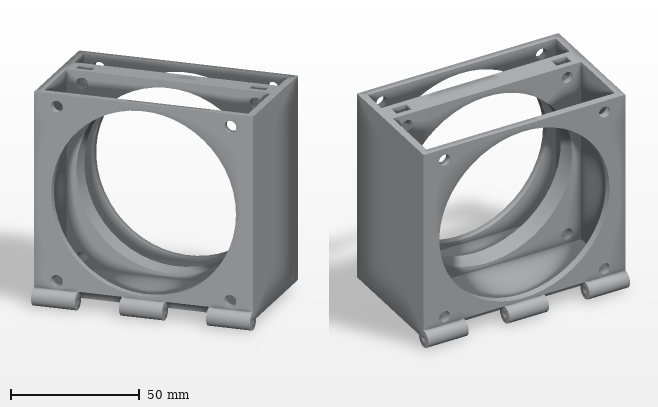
import cadquery as cq

width = 90.0
depth = 52.2
height = 83.8
wall = 3.0

rear_bay_depth = 11.0
partition = 8.9
partition_rear = depth - wall - rear_bay_depth
partition_front = partition_rear - partition

bore_diameter = 76.0
bore_z = 42.9
screw_diameter = 4.9
screw_spacing = 71.4

nut_width = 6.7
nut_thickness = 4.1
nut_y = 33.75
nut_slot_depth = 8.4

knuckle_diameter = 7.4
pin_diameter = 2.6
knuckle_gap = 18.2
outer_knuckle = 18.0
clearance_diameter = 7.6


def block(x_size, y_start, y_end, z_start, z_end):
    """Box centred on X, between the given Y and Z limits."""
    return cq.Workplane("XY").box(
        x_size, y_end - y_start, z_end - z_start, centered=(True, False, False)
    ).translate((0, y_start, z_start))


def hinge_rod(diameter, x_start, length):
    """Cylinder on the hinge axis, running toward +X."""
    return cq.Workplane("YZ", origin=(x_start, 0, 0)).circle(diameter / 2).extrude(length)


bay_width = width - 2 * wall
body = block(width, 0, depth, 0, height)
body = body.cut(block(bay_width, wall, partition_front, wall, height))
body = body.cut(block(bay_width, partition_rear, depth - wall, wall, height))

axis_plane = cq.Workplane("XZ", origin=(0, 0, bore_z))
body = body.cut(axis_plane.circle(bore_diameter / 2).extrude(-depth))
screws = axis_plane.rect(screw_spacing, screw_spacing, forConstruction=True).vertices()
body = body.cut(screws.circle(screw_diameter / 2).extrude(-depth))

for side in (-1, 1):
    slot_front = nut_y - nut_thickness / 2
    slot = block(nut_width, slot_front, slot_front + nut_thickness, height - nut_slot_depth, height)
    body = body.cut(slot.translate((side * screw_spacing / 2, 0, 0)))

body = body.union(hinge_rod(knuckle_diameter, -width / 2, width))
for gap_start in (-width / 2 + outer_knuckle, width / 2 - outer_knuckle - knuckle_gap):
    body = body.cut(hinge_rod(clearance_diameter, gap_start, knuckle_gap))

result = body.cut(hinge_rod(pin_diameter, -width / 2, width))